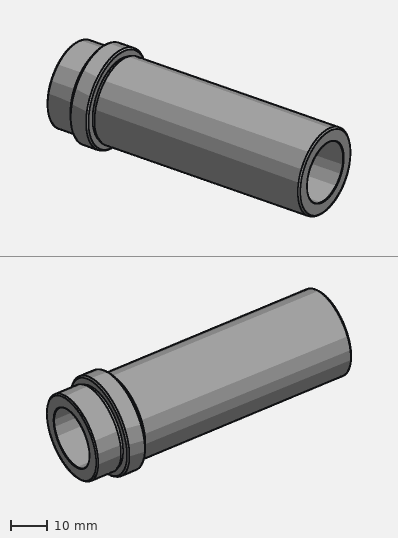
import cadquery as cq
import math

length = 84.0
body_radius = 26.0 / 2
bore_radius = 18.0 / 2
bore_chamfer = 0.2
front_chamfer = 0.4
rear_chamfer = 0.5

collar_start = 8.9
collar_end = 14.95
collar_radius = 30.0 / 2
collar_chamfer = 0.5

groove_width = 1.0
groove_depth = 0.5
groove_floor = body_radius - groove_depth
arc_radius = (groove_width**2 + groove_depth**2) / (2 * groove_depth)
half_angle = math.asin(groove_width / arc_radius) / 2
arc_mid_offset = arc_radius * math.sin(half_angle)
arc_mid_rise = arc_radius * (1 - math.cos(half_angle))


def make_sleeve():
    """Revolve the half section of the sleeve about the X axis."""
    profile = (
        cq.Workplane("XY")
        .moveTo(0, bore_radius + bore_chamfer)
        .lineTo(0, body_radius - front_chamfer)
        .lineTo(front_chamfer, body_radius)
        .lineTo(collar_start - groove_width, body_radius)
        .threePointArc(
            (collar_start - arc_mid_offset, groove_floor + arc_mid_rise),
            (collar_start, groove_floor),
        )
        .lineTo(collar_start, collar_radius - collar_chamfer)
        .lineTo(collar_start + collar_chamfer, collar_radius)
        .lineTo(collar_end - collar_chamfer, collar_radius)
        .lineTo(collar_end, collar_radius - collar_chamfer)
        .lineTo(collar_end, groove_floor)
        .threePointArc(
            (collar_end + arc_mid_offset, groove_floor + arc_mid_rise),
            (collar_end + groove_width, body_radius),
        )
        .lineTo(length - rear_chamfer, body_radius)
        .lineTo(length, body_radius - rear_chamfer)
        .lineTo(length, bore_radius + bore_chamfer)
        .lineTo(length - bore_chamfer, bore_radius)
        .lineTo(bore_chamfer, bore_radius)
        .close()
    )
    return profile.revolve(360, (0, 0, 0), (1, 0, 0))


result = make_sleeve()